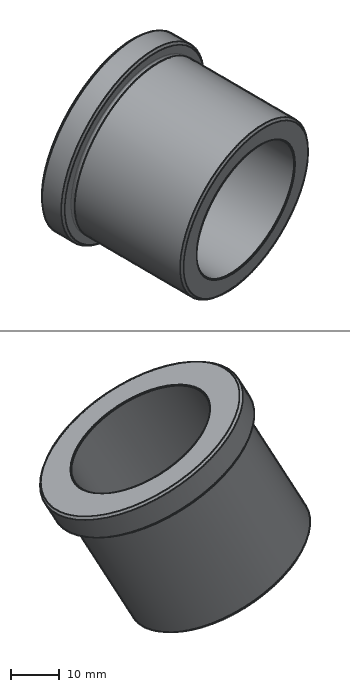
import cadquery as cq

total_length = 35.0
flange_diameter = 47.0
flange_thickness = 6.0
body_diameter = 42.0
bore_diameter = 32.0
edge_chamfer = 0.5
bore_chamfer = 0.2

groove_width = 1.0

flange_radius = flange_diameter / 2
body_radius = body_diameter / 2
bore_radius = bore_diameter / 2
groove_radius = groove_width / 2
groove_centre = flange_thickness + groove_radius


def make_blank():
    """Solid flanged cylinder with chamfered outer edges."""
    flange = (
        cq.Workplane("YZ")
        .circle(flange_radius)
        .extrude(flange_thickness)
        .edges()
        .chamfer(edge_chamfer)
    )
    body = (
        cq.Workplane("YZ")
        .circle(body_radius)
        .extrude(total_length)
        .faces(">X")
        .edges()
        .chamfer(edge_chamfer)
    )
    return flange.union(body)


def make_groove():
    """Ring of round section, centred on the body surface, that cuts the relief groove."""
    return (
        cq.Workplane("XY")
        .center(groove_centre, body_radius)
        .circle(groove_radius)
        .revolve(360, (-groove_centre, -body_radius, 0), (0, -body_radius, 0))
    )


def make_bore():
    """Through bore with a small chamfer at both mouths."""
    mouth_radius = bore_radius + bore_chamfer
    return (
        cq.Workplane("XY")
        .moveTo(0, 0)
        .lineTo(0, mouth_radius)
        .lineTo(bore_chamfer, bore_radius)
        .lineTo(total_length - bore_chamfer, bore_radius)
        .lineTo(total_length, mouth_radius)
        .lineTo(total_length, 0)
        .close()
        .revolve(360, (0, 0, 0), (1, 0, 0))
    )


result = make_blank().cut(make_groove()).cut(make_bore())